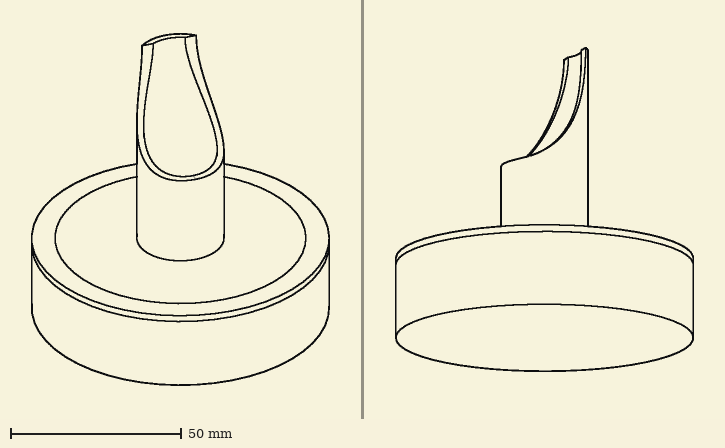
import cadquery as cq

overall_height = 86.5
base_diameter = 87.5
base_height = 22.0
plate_thickness = 2.0
disc_diameter = 73.8
tube_outer_diameter = 25.6
tube_inner_diameter = 21.6
scoop_depth = 35.0
tip_width = 3.2

plate_top = base_height + plate_thickness
tube_height = overall_height - plate_top
tube_radius = tube_outer_diameter / 2
scoop_reach = tube_outer_diameter - tip_width


def cylinder(diameter, height, bottom):
    """Upright cylinder on the Z axis."""
    return cq.Workplane("XY").workplane(offset=bottom).circle(diameter / 2).extrude(height)


def make_base():
    return cylinder(base_diameter, base_height, 0)


def make_rim_ring():
    """Flat ring lying on the edge of the base."""
    ring = cylinder(base_diameter, plate_thickness, base_height)
    return ring.cut(cylinder(disc_diameter, plate_thickness, base_height))


def make_disc():
    """Disc filling the rim ring, flush with its top."""
    return cylinder(disc_diameter, plate_thickness, base_height)


def make_scoop_cutter():
    """Elliptical bar along Y, centred on the +X edge of the tube at tip height."""
    return (
        cq.Workplane("XZ")
        .center(tube_radius, overall_height)
        .ellipse(scoop_reach, scoop_depth)
        .extrude(tube_outer_diameter, both=True)
    )


def make_tube():
    """Upright tube standing on the disc, its mouth scooped away toward +X."""
    tube = cylinder(tube_outer_diameter, tube_height, plate_top)
    bore = cylinder(tube_inner_diameter, tube_height, plate_top)
    return tube.cut(bore).cut(make_scoop_cutter())


base = make_base()
rim_ring = make_rim_ring()
disc = make_disc()
tube = make_tube()

result = cq.Compound.makeCompound([base.val(), rim_ring.val(), disc.val(), *tube.solids().vals()])